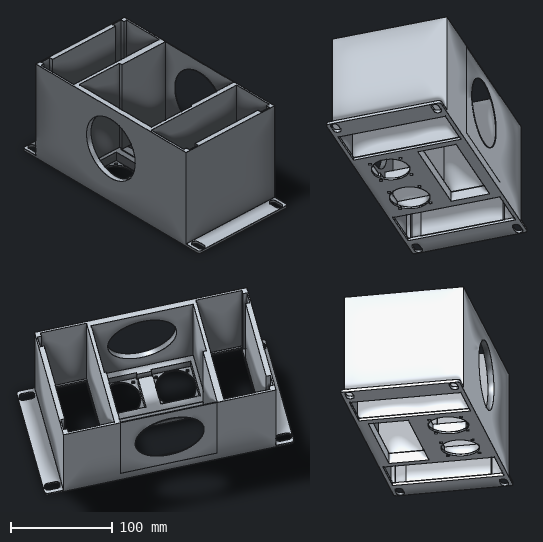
import cadquery as cq

length = 254.0
width = 121.0
height = 112.0
body_length = 216.5
base_thickness = 3.0
corner_radius = 3.0

slot_length = 15.7
slot_width = 7.5
slot_x = 117.9
slot_y = 52.8

bay_x = 79.12
bay_length = 46.7
bay_width = 116.3
bay_window_length = 45.2
bay_window_width = 112.8

notch_outer_x = 106.7
notch_width = 11.5
notch_y = 48.65

rear_bay_x = 0.8
rear_bay_length = 98.5
rear_bay_back_y = 59.7
rear_bay_front_y = -0.5
rear_floor_z = 11.2
rear_window_length = 97.0
rear_window_back_y = 48.8
rear_window_front_y = 8.5

front_bay_length = 104.0
front_bay_back_y = 0.5
front_bay_front_y = -54.4
front_floor_z = 12.0
fan_x = 27.7
fan_y = -28.0
fan_seat_size = 40.5
fan_seat_z = 2.0
fan_openings = ((-fan_x, 40.1), (fan_x, 38.0))
screw_diameter = 3.0
screw_pitch = 32.0

channel_width = 4.8
channel_y = -43.7

duct_diameter = 70.0
duct_z = 63.8


def block(x_center, y_center, x_size, y_size, z_bottom, z_top):
    """Upright box placed by its plan centre and its bottom and top levels."""
    box = cq.Workplane("XY").box(x_size, y_size, z_top - z_bottom, centered=(True, True, False))
    return box.translate((x_center, y_center, z_bottom))


def body():
    """Solid box on the base plate with the slotted mounting flanges."""
    plate = block(0, 0, length, width, 0, base_thickness).edges("|Z").fillet(corner_radius)
    slots = (
        cq.Workplane("XY")
        .rect(2 * slot_x, 2 * slot_y, forConstruction=True)
        .vertices()
        .slot2D(slot_length, slot_width)
        .extrude(base_thickness)
    )
    return plate.cut(slots).union(block(0, 0, body_length, width, 0, height))


def side_bay(side):
    """Volume of one side bay: pocket, floor window and two notches in its outer wall."""
    center_x = side * bay_x
    bay = block(center_x, 0, bay_length, bay_width, base_thickness, height)
    bay = bay.union(block(center_x, 0, bay_window_length, bay_window_width, 0, height))
    notch_length = notch_outer_x - bay_x
    notch_x = side * (notch_outer_x + bay_x) / 2
    for y in (-notch_y, notch_y):
        bay = bay.union(block(notch_x, y, notch_length, notch_width, base_thickness, height))
    return bay


def span_block(x_center, x_size, y_front, y_back, z_bottom):
    """Box reaching the top rim, placed by its front and back limits."""
    return block(x_center, (y_front + y_back) / 2, x_size, y_back - y_front, z_bottom, height)


def rear_bay():
    """Volume of the rear centre bay and its floor window."""
    bay = span_block(rear_bay_x, rear_bay_length, rear_bay_front_y, rear_bay_back_y, rear_floor_z)
    window = span_block(rear_bay_x, rear_window_length, rear_window_front_y, rear_window_back_y, 0)
    return bay.union(window)


def fan_seat(center_x, opening_diameter):
    """Volume of one square fan seat with its air opening and four screw holes."""
    seat = block(center_x, fan_y, fan_seat_size, fan_seat_size, fan_seat_z, front_floor_z)
    plan = cq.Workplane("XY").center(center_x, fan_y)
    opening = plan.circle(opening_diameter / 2).extrude(front_floor_z)
    screws = (
        plan.rect(screw_pitch, screw_pitch, forConstruction=True)
        .vertices()
        .circle(screw_diameter / 2)
        .extrude(front_floor_z)
    )
    return seat.union(opening).union(screws)


def front_bay():
    """Volume of the front centre bay with its fan seats and cable channel."""
    bay = span_block(0, front_bay_length, front_bay_front_y, front_bay_back_y, front_floor_z)
    bay = bay.union(block(0, channel_y, 2 * fan_x, channel_width, fan_seat_z, front_floor_z))
    for center_x, opening_diameter in fan_openings:
        bay = bay.union(fan_seat(center_x, opening_diameter))
    return bay


def duct():
    """Cylinder along Y piercing the front and back walls."""
    plane = cq.Workplane("XZ").center(0, duct_z)
    return plane.circle(duct_diameter / 2).extrude(width / 2, both=True)


result = body().cut(rear_bay()).cut(front_bay()).cut(duct())
for side in (-1, 1):
    result = result.cut(side_bay(side))